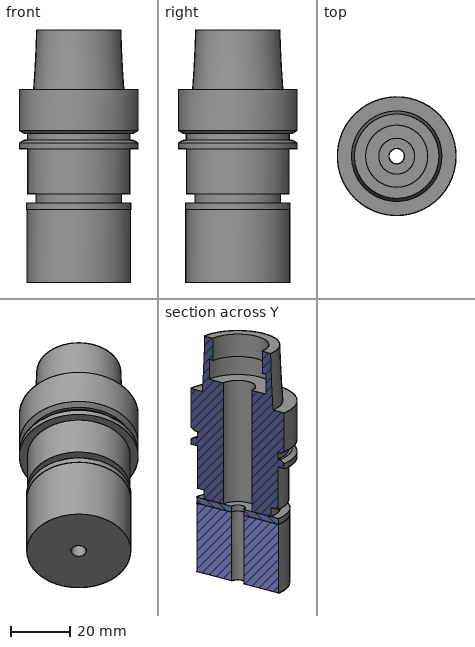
import cadquery as cq

nut_top = 24.65
ring_top = 26.8
neck_top = 29.8
barrel_top = 44.6
flange_bottom = 45.0
groove_bottom_rim = 46.9
groove_bottom = 47.9
groove_top = 50.1
groove_top_rim = 51.2
flange_top = 65.0
total_height = 85.0

nut_radius = 17.5
ring_radius = 17.6
neck_radius = 14.45
barrel_radius = 17.25
flange_root_radius = 17.3
flange_diameter = 40.0
flange_radius = flange_diameter / 2
groove_radius = 17.3
groove_lip_radius = 18.3
taper_base_radius = 15.2
taper_top_radius = 14.2
taper_hollow = 0.13

through_radius = 2.55
coolant_radius = 6.0
socket_radius = 10.45
socket_lip_depth = 8.0
undercut_radius = 12.0
socket_depth = 15.0


def make_sleeve(radius, bottom, top):
    """Plain round collar with the small through hole."""
    return (
        cq.Workplane("XY", origin=(0, 0, bottom))
        .circle(radius)
        .circle(through_radius)
        .extrude(top - bottom)
    )


def make_holder_blank():
    """Turned outside of the holder, from its neck up to the taper."""
    taper_middle = (
        (taper_base_radius + taper_top_radius) / 2 - taper_hollow,
        (flange_top + total_height) / 2,
    )
    return (
        cq.Workplane("XZ")
        .moveTo(0, ring_top)
        .lineTo(neck_radius, ring_top)
        .lineTo(neck_radius, neck_top)
        .lineTo(barrel_radius, neck_top)
        .lineTo(barrel_radius, barrel_top)
        .lineTo(flange_root_radius, flange_bottom)
        .lineTo(flange_radius, flange_bottom)
        .lineTo(flange_radius, groove_bottom_rim)
        .lineTo(groove_lip_radius, groove_bottom)
        .lineTo(groove_radius, groove_bottom)
        .lineTo(groove_radius, groove_top)
        .lineTo(groove_lip_radius, groove_top)
        .lineTo(flange_radius, groove_top_rim)
        .lineTo(flange_radius, flange_top)
        .lineTo(taper_base_radius, flange_top)
        .threePointArc(taper_middle, (taper_top_radius, total_height))
        .lineTo(0, total_height)
        .close()
        .revolve(360, (0, 0, 0), (0, 1, 0))
    )


def make_holder_bore():
    """Solid filling the coolant bore, the undercut and the socket mouth."""
    socket_floor = total_height - socket_depth
    lip_bottom = total_height - socket_lip_depth
    return (
        cq.Workplane("XZ")
        .moveTo(0, ring_top)
        .lineTo(coolant_radius, ring_top)
        .lineTo(coolant_radius, socket_floor)
        .lineTo(undercut_radius, socket_floor)
        .lineTo(undercut_radius, lip_bottom)
        .lineTo(socket_radius, lip_bottom)
        .lineTo(socket_radius, total_height)
        .lineTo(0, total_height)
        .close()
        .revolve(360, (0, 0, 0), (0, 1, 0))
    )


nut = make_sleeve(nut_radius, 0, nut_top)
ring = make_sleeve(ring_radius, nut_top, ring_top)
holder = make_holder_blank().cut(make_holder_bore())

result = cq.Compound.makeCompound([nut.val(), ring.val(), holder.val()])